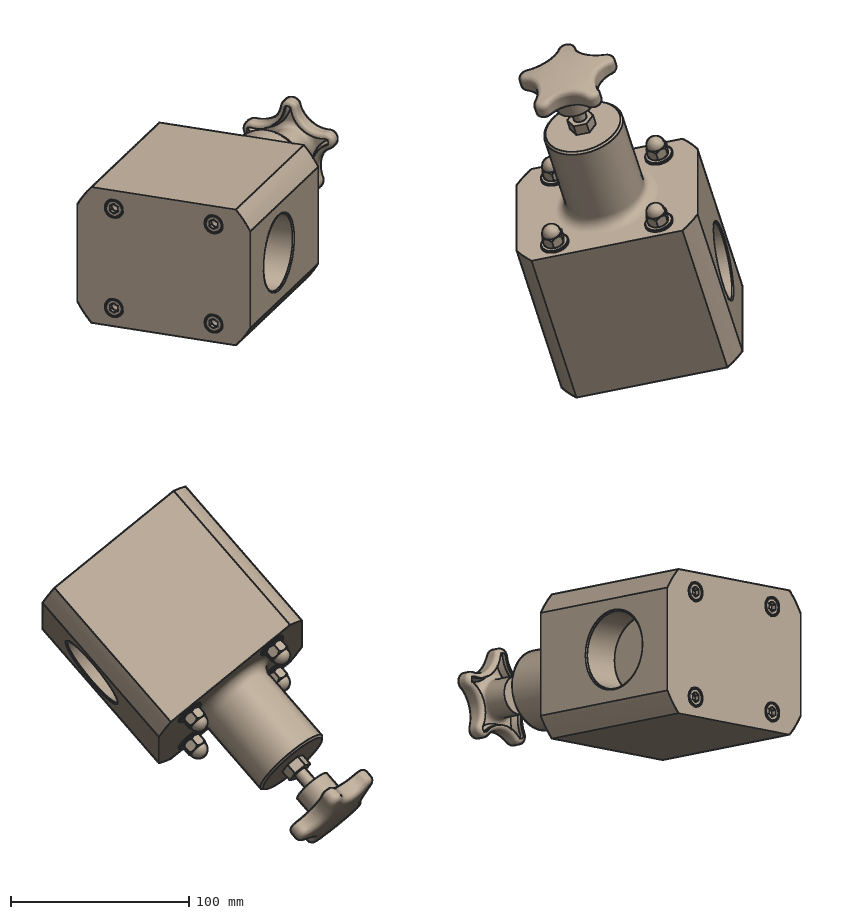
import cadquery as cq
import math

block_width = 104.7
block_height = 82.5
block_length = 101.4
block_turned_diameter = 120.1
total_length = 196.9

port_diameter = 44.1
port_mouth_diameter = 45.7
port_depth = 22.0
port_y = 42.7

bolt_spacing = 60.2
counterbore_diameter = 11.0
counterbore_depth = 1.2
screw_head_diameter = 9.5
socket_across_flats = 5.0
socket_depth = 3.0
socket_cone_depth = 1.4
washer_diameter = 16.0
washer_thickness = 1.2
washer_chamfer = 0.4
cap_nut_height = 12.0
cap_nut_across_flats = 11.0
cap_nut_hex_height = 6.5
cap_nut_bevel = 1.2
cap_nut_dome_diameter = 10.6

housing_diameter = 45.7
housing_length = 54.1
housing_root_radius = 6.7
housing_top_chamfer = 1.2

spindle_diameter = 7.5
lock_nut_across_flats = 13.0
lock_nut_height = 6.5

lobe_count = 5
lobe_center_radius = 23.8
lobe_radius = 5.0
valley_radius = 14.8
knob_height = 12.2
knob_dome_radius = 128.0
knob_bottom_rounding = 2.8
knob_top_rounding = 3.0
knob_wall = 3.0
knob_floor_wall = 4.5
knob_hollow_depth = 6.3
hub_diameter = 22.0
hub_length = 12.2
hub_root_radius = 4.0

overlap = 1.0

housing_top_y = block_length + housing_length
knob_base_y = total_length - knob_height
hub_base_y = knob_base_y - hub_length


def plane_at(y):
    """Sketch plane at height y, with its normal along +Y and its local y axis along +Z."""
    return cq.Workplane(cq.Plane(origin=(0, y, 0), xDir=(-1, 0, 0), normal=(0, 1, 0)))


def cylinder(diameter, y_start, y_end):
    return plane_at(y_start).circle(diameter / 2).extrude(y_end - y_start)


def across_corners(across_flats):
    return across_flats / math.cos(math.pi / 6)


def hexagon(across_flats, y_start, y_end, turn=0):
    """Hexagon prism with corners towards +X and -X, turned about its axis by some degrees."""
    prism = plane_at(y_start).polygon(6, across_corners(across_flats)).extrude(y_end - y_start)
    return prism.rotate((0, 0, 0), (0, 1, 0), turn)


def at_bolts(tool):
    """Copies of a tool at the four bolt positions."""
    offset = bolt_spacing / 2
    copies = cq.Workplane()
    for x in (-offset, offset):
        for z in (-offset, offset):
            copies = copies.add(tool.translate((x, 0, z)))
    return copies.combine()


def make_block():
    block = cq.Workplane().box(block_width, block_length, block_height)
    block = block.translate((0, block_length / 2, 0))
    block = block.intersect(cylinder(block_turned_diameter, 0, block_length))
    mouth_chamfer = (port_mouth_diameter - port_diameter) / 2
    for side in (-1, 1):
        face_plane = cq.Plane(
            origin=(side * block_width / 2, port_y, 0), xDir=(0, 1, 0), normal=(-side, 0, 0)
        )
        bore = cq.Workplane(face_plane).circle(port_diameter / 2).extrude(port_depth)
        mouth = (
            cq.Workplane(face_plane)
            .circle(port_mouth_diameter / 2)
            .workplane(offset=mouth_chamfer)
            .circle(port_diameter / 2)
            .loft(ruled=True)
        )
        block = block.cut(bore).cut(mouth)
    return block


def make_screw_recess():
    """Ring gap around a flush screw head, and the hexagon socket in the head."""
    gap = cylinder(counterbore_diameter, 0, counterbore_depth)
    gap = gap.cut(cylinder(screw_head_diameter, 0, counterbore_depth))
    socket = hexagon(socket_across_flats, 0, socket_depth, turn=30)
    drill_point = (
        cq.Workplane()
        .moveTo(0, socket_depth)
        .lineTo(socket_across_flats / 2, socket_depth)
        .lineTo(0, socket_depth + socket_cone_depth)
        .close()
        .revolve(360, (0, 0, 0), (0, 1, 0))
    )
    return gap.union(socket).union(drill_point)


def make_cap_nut():
    nut_base_y = block_length + washer_thickness
    hex_top_y = nut_base_y + cap_nut_hex_height
    washer = cylinder(washer_diameter, block_length - overlap, nut_base_y)
    washer = washer.faces(">Y").chamfer(washer_chamfer)
    corner_radius = across_corners(cap_nut_across_flats) / 2
    bevelled_radius = cap_nut_across_flats / 2
    envelope = (
        cq.Workplane()
        .moveTo(0, nut_base_y)
        .lineTo(bevelled_radius, nut_base_y)
        .lineTo(corner_radius, nut_base_y + cap_nut_bevel)
        .lineTo(corner_radius, hex_top_y - cap_nut_bevel)
        .lineTo(bevelled_radius, hex_top_y)
        .lineTo(0, hex_top_y)
        .close()
        .revolve(360, (0, 0, 0), (0, 1, 0))
    )
    body = hexagon(cap_nut_across_flats, nut_base_y, hex_top_y, turn=30).intersect(envelope)
    dome_radius = cap_nut_dome_diameter / 2
    dome_center_y = nut_base_y + cap_nut_height - dome_radius
    dome = cq.Workplane().sphere(dome_radius).translate((0, dome_center_y, 0))
    return washer.union(body).union(dome)


def make_housing():
    root_plane_radius = housing_diameter / 2 + housing_root_radius
    barrel_radius = housing_diameter / 2
    return (
        cq.Workplane()
        .moveTo(0, block_length - overlap)
        .lineTo(root_plane_radius, block_length - overlap)
        .lineTo(root_plane_radius, block_length)
        .radiusArc((barrel_radius, block_length + housing_root_radius), housing_root_radius)
        .lineTo(barrel_radius, housing_top_y - housing_top_chamfer)
        .lineTo(barrel_radius - housing_top_chamfer, housing_top_y)
        .lineTo(0, housing_top_y)
        .close()
        .revolve(360, (0, 0, 0), (0, 1, 0))
    )


def polar(radius, angle):
    return (radius * math.cos(angle), radius * math.sin(angle))


def star_outline(y, inset):
    """Lobe tips joined by tangent valleys, offset inwards by the inset."""
    half_pitch = math.pi / lobe_count
    reach = lobe_radius + valley_radius
    half_gap = lobe_center_radius * math.sin(half_pitch)
    valley_center = lobe_center_radius * math.cos(half_pitch) + math.sqrt(reach**2 - half_gap**2)
    valley_bottom = valley_center - valley_radius - inset
    tip = lobe_center_radius + lobe_radius - inset
    share = (lobe_radius - inset) / reach

    def tangent_point(lobe_angle, side):
        lobe_x, lobe_y = polar(lobe_center_radius, lobe_angle)
        valley_x, valley_y = polar(valley_center, lobe_angle + side * half_pitch)
        return (lobe_x + share * (valley_x - lobe_x), lobe_y + share * (valley_y - lobe_y))

    angles = [math.pi / 2 + 2 * half_pitch * index for index in range(lobe_count)]
    outline = plane_at(y).moveTo(*tangent_point(angles[0], -1))
    for angle in angles:
        outline = outline.threePointArc(polar(tip, angle), tangent_point(angle, 1))
        outline = outline.threePointArc(
            polar(valley_bottom, angle + half_pitch), tangent_point(angle + 2 * half_pitch, -1)
        )
    return outline.close()


def make_hollow():
    """Hollow under the knob: upright walls that lean inwards beside the hub root."""
    floor_y = knob_base_y + knob_hollow_depth
    lean_start_y = floor_y - hub_root_radius
    mouth = star_outline(knob_base_y, knob_wall).extrude(lean_start_y - knob_base_y)
    mouth_edge = star_outline(lean_start_y, knob_wall).val()
    floor_edge = star_outline(floor_y, knob_floor_wall).val()
    leaning = cq.Solid.makeLoft([mouth_edge, floor_edge], True)
    return mouth.union(cq.Workplane(leaning))


def make_hub():
    """Hub of the knob, flaring in a concave root at the floor of the hollow."""
    hub_radius = hub_diameter / 2
    floor_y = knob_base_y + knob_hollow_depth
    foot_radius = hub_radius + hub_root_radius
    return (
        cq.Workplane()
        .moveTo(0, hub_base_y)
        .lineTo(hub_radius, hub_base_y)
        .lineTo(hub_radius, floor_y - hub_root_radius)
        .radiusArc((foot_radius, floor_y), hub_root_radius)
        .lineTo(foot_radius, floor_y + overlap)
        .lineTo(0, floor_y + overlap)
        .close()
        .revolve(360, (0, 0, 0), (0, 1, 0))
    )


def make_knob():
    dome = cq.Workplane().sphere(knob_dome_radius)
    dome = dome.translate((0, total_length - knob_dome_radius, 0))
    knob = star_outline(knob_base_y, 0).extrude(knob_height).intersect(dome)
    knob = knob.faces("<Y").edges().fillet(knob_bottom_rounding)
    top_face = knob.faces(cq.selectors.NearestToPointSelector((0, total_length, 0)))
    knob = top_face.edges().fillet(knob_top_rounding)
    return knob.cut(make_hollow()).union(make_hub())


lock_nut_top_y = housing_top_y + lock_nut_height

result = (
    make_block()
    .cut(at_bolts(make_screw_recess()))
    .union(make_housing())
    .union(at_bolts(make_cap_nut()))
    .union(hexagon(lock_nut_across_flats, housing_top_y - overlap, lock_nut_top_y))
    .union(cylinder(spindle_diameter, housing_top_y - overlap, hub_base_y + overlap))
    .union(make_knob())
)